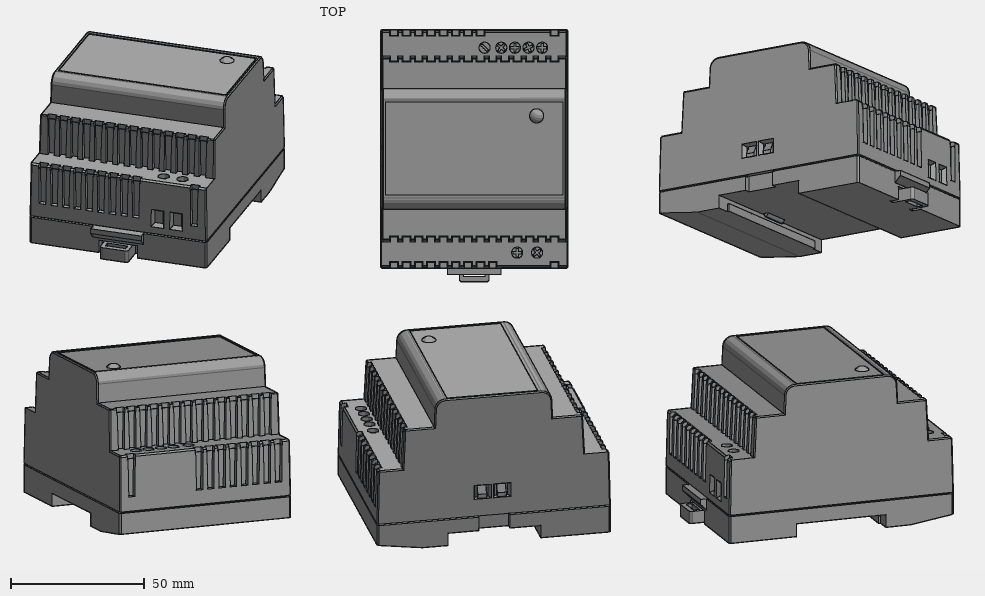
import cadquery as cq
import math


half_width = 35.0
half_width_top = 34.4
half_depth = 44.7
overall_depth = 94.5
base_top = 10.5
body_bottom = 11.05
body_top = 59.2
seam_inset = 1.3
side_edge_chamfer = 0.5
corner_chamfer = 0.7

low_step_z = 32.5
mid_step_z = 48.3
low_head_y = 44.2
mid_foot_y = 34.9
mid_head_y = 34.1
top_foot_y = 22.7
top_head_y = 22.2
top_edge_radius = 4.0
low_edge_chamfer = 0.7
mid_edge_chamfer = 0.4

rail_z = 5.0
rail_front_y = -17.95
rail_rear_y = 17.6
lip_y = 16.8
lip_z = 3.0
slope_start_y = 27.4
slope_end_z = 2.5
lip_side_inset = 5.7
notch_front_y = -6.1
notch_rear_y = 5.8
notch_depth = 2.4

slot_count = 14
slot_span = 60.0
slot_pitch = slot_span / (slot_count - 1)
slot_head_width = 3.3
slot_head_height = 1.8
slot_head_extra = 0.33
slot_top_width = 3.0
slot_bottom_width = 2.55
mid_slot_back_y = 32.9
low_slot_back_y = 42.5
low_slot_bottom_z = 16.5
all_slots = list(range(slot_count))
last_slot = slot_count - 1
front_low_slots = all_slots[:9] + [last_slot]
rear_low_slots = all_slots[:8] + [last_slot]

well_x = (15.6, 23.0)
well_z = 17.4
well_width = 5.2
well_height = 7.3
well_floor_width = 3.2
well_floor_height = 5.0
well_depth = 1.9

socket_y = (4.25, -3.2)
socket_z_low = 17.9
socket_height = 5.6
socket_width = 6.7
socket_taper = 0.85
socket_depth = 2.4
contact_width = 3.4
contact_height = 1.6
contact_front_depth = 0.8

front_screw_y = -38.8
rear_screw_y = 37.9
screw_radius = 2.1
screw_depth = 1.9
recess_length = 3.2
recess_width = 0.85
recess_depth = 0.8
cross_screws = [
    (16.1, front_screw_y, 0),
    (23.5, front_screw_y, 40),
    (10.1, rear_screw_y, 50),
    (15.2, rear_screw_y, 0),
    (20.3, rear_screw_y, 25),
    (25.4, rear_screw_y, 0),
]
adjuster = (3.9, rear_screw_y, -45)

panel_half_width = 33.2
panel_front_y = -17.2
panel_rear_y = 17.6
panel_depth = 0.3
lamp_x = 23.3
lamp_y = 12.4
lamp_radius = 2.6
lamp_top = 60.3

tip_y = half_depth - overall_depth
tab_half_width = 10.0
tab_reach = 2.4
tab_edge_z = 8.5
tab_low_z = 6.0
guide_half_width = 7.65
guide_height = 5.1
guide_depth = 3.8
loop_half_width = 5.6
loop_height = 4.7
loop_bar = 2.1
loop_hole_half_width = 4.0
loop_hole_back_y = -45.3
loop_radius = 1.0

nose_tip_y = -15.8
nose_low_z = 0.9
nose_tip_low_z = 2.5
nose_tip_high_z = 2.9
nose_high_z = 3.9
rib_rear_y = 16.7
rib_tip_rear_y = 16.3
rib_tip_front_y = 15.8
rib_front_y = 14.8
rib_tip_z = 3.7

OVERLAP = 0.9


def box(x0, x1, y0, y1, z0, z1):
    """Block between opposite corners."""
    return cq.Workplane("XY").box(x1 - x0, y1 - y0, z1 - z0, centered=False).translate((x0, y0, z0))


def prism_x(points, half_length):
    """Extrude a (y, z) outline symmetrically along X."""
    return cq.Workplane("YZ").polyline(points).close().extrude(half_length, both=True)


def edges_near(y0, y1, z):
    """Selector for what is centred between y0 and y1, close to height z, over the full width."""
    return cq.selectors.BoxSelector((-half_width, y0, z - OVERLAP), (half_width, y1, z + OVERLAP))


def outer_step_edges(body, head_y, z):
    """Outer front and rear edges of the step at height z."""
    front = edges_near(-head_y - OVERLAP, -head_y + OVERLAP, z)
    rear = edges_near(head_y - OVERLAP, head_y + OVERLAP, z)
    return body.edges("|X").edges(front + rear)


def make_body():
    rear = [
        (half_depth, body_bottom),
        (low_head_y, low_step_z),
        (mid_foot_y, low_step_z),
        (mid_head_y, mid_step_z),
        (top_foot_y, mid_step_z),
        (top_head_y, body_top),
    ]
    front = [(-y, z) for y, z in reversed(rear)]
    body = prism_x(rear + front, half_width)
    body = body.edges("|X and >Z").fillet(top_edge_radius)
    body = outer_step_edges(body, low_head_y, low_step_z).chamfer(low_edge_chamfer)
    body = outer_step_edges(body, mid_head_y, mid_step_z).chamfer(mid_edge_chamfer)
    leaning_sides = (
        cq.Workplane("XZ")
        .polyline([
            (-half_width, body_bottom),
            (half_width, body_bottom),
            (half_width_top, body_top),
            (-half_width_top, body_top),
        ])
        .close()
        .extrude(half_depth + OVERLAP, both=True)
    )
    body = body.intersect(leaning_sides)
    front_ledge = edges_near(-half_depth, -mid_foot_y, low_step_z)
    rims = body.faces("<X or >X").edges("not <Z").edges(cq.selectors.InverseSelector(front_ledge))
    return rims.chamfer(side_edge_chamfer)


def make_base():
    outline = [
        (-half_depth, 0),
        (rail_front_y, 0),
        (rail_front_y, rail_z),
        (rail_rear_y, rail_z),
        (rail_rear_y, 0),
        (slope_start_y, 0),
        (half_depth, slope_end_z),
        (half_depth, base_top),
        (-half_depth, base_top),
    ]
    base = prism_x(outline, half_width)
    base = base.edges("|Z and (<Y or >Y)").chamfer(corner_chamfer)
    neck_x = half_width - seam_inset
    neck_y = half_depth - seam_inset
    base = base.union(box(-neck_x, neck_x, -neck_y, neck_y, rail_z, body_bottom))
    lip_x = half_width - lip_side_inset
    lip = box(-lip_x, lip_x, lip_y, rail_rear_y + OVERLAP, 0, lip_z)
    notch_floor_x = -half_width + notch_depth
    notch = box(-half_width - OVERLAP, notch_floor_x, notch_front_y, notch_rear_y, rail_z, body_bottom)
    return base.union(lip).cut(notch)


def slot_row(indices, side, back_y, outer_y, z0, z1):
    """Cutter for one row of slots; side is -1 for the front and 1 for the rear."""
    z_head = z1 - slot_head_height
    reach = outer_y + OVERLAP
    row = cq.Workplane("XY")
    for index in indices:
        x = (index - (slot_count - 1) / 2) * slot_pitch
        shaft = (
            cq.Workplane("XZ")
            .polyline([
                (x - slot_bottom_width / 2, z0),
                (x + slot_bottom_width / 2, z0),
                (x + slot_top_width / 2, z1),
                (x - slot_top_width / 2, z1),
            ])
            .close()
            .extrude(reach - back_y)
            .translate((0, reach if side > 0 else -back_y, 0))
        )
        head_back = side * (back_y - slot_head_extra)
        y0, y1 = sorted((head_back, side * reach))
        head = box(x - slot_head_width / 2, x + slot_head_width / 2, y0, y1, z_head, z1 + OVERLAP)
        row = row.add(shaft).add(head)
    return row.combine()


def cut_slots(body):
    for side, low_slots in ((-1, front_low_slots), (1, rear_low_slots)):
        body = body.cut(slot_row(all_slots, side, mid_slot_back_y, mid_foot_y, low_step_z, mid_step_z))
        body = body.cut(
            slot_row(low_slots, side, low_slot_back_y, half_depth, low_slot_bottom_z, low_step_z))
    return body


def cut_front_wells(body):
    for x in well_x:
        well = (
            cq.Workplane("XZ", origin=(x, -half_depth, well_z))
            .rect(well_width, well_height)
            .workplane(offset=-well_depth)
            .rect(well_floor_width, well_floor_height)
            .loft()
        )
        body = body.cut(well)
    return body


def cut_side_sockets(body):
    """Tapered sockets in the -X wall, each holding a ramped contact block."""
    z_high = socket_z_low + socket_height
    floor_x = -half_width + socket_depth
    for y in socket_y:
        floor_height = socket_height - socket_taper
        well = (
            cq.Workplane("YZ", origin=(-half_width, y, socket_z_low + socket_height / 2))
            .rect(socket_width, socket_height)
            .workplane(offset=socket_depth)
            .center(0, -socket_taper / 2)
            .rect(socket_width - 2 * socket_taper, floor_height)
            .loft()
        )
        front_x = -half_width + contact_front_depth
        contact = (
            cq.Workplane("XZ", origin=(0, y, 0))
            .polyline([
                (front_x, socket_z_low),
                (front_x, socket_z_low + contact_height),
                (floor_x, z_high - socket_taper),
                (floor_x + OVERLAP, z_high - socket_taper),
                (floor_x + OVERLAP, socket_z_low),
            ])
            .close()
            .extrude(contact_width / 2, both=True)
        )
        body = body.cut(well.cut(contact))
    return body


def cut_screw(body, x, y, angles):
    """Round screw well with driver slots in the sunk screw head."""
    floor_z = low_step_z - screw_depth
    hole = cq.Workplane("XY", origin=(x, y, floor_z)).circle(screw_radius).extrude(screw_depth + OVERLAP)
    for angle in angles:
        recess = (
            cq.Workplane("XY", origin=(x, y, floor_z))
            .transformed(rotate=(0, 0, angle))
            .rect(recess_length, recess_width)
            .extrude(-recess_depth)
        )
        hole = hole.union(recess)
    return body.cut(hole)


def cut_screws(body):
    for x, y, angle in cross_screws:
        body = cut_screw(body, x, y, (angle, angle + 90))
    x, y, angle = adjuster
    return cut_screw(body, x, y, (angle,))


def dome_midpoint(radius, rise):
    """Point halfway along the arc from the rim to the crown of a spherical cap."""
    sphere = (radius**2 + rise**2) / (2 * rise)
    half_angle = math.asin(radius / sphere) / 2
    return sphere * math.sin(half_angle), rise - sphere + sphere * math.cos(half_angle)


def add_top_panel(body):
    floor_z = body_top - panel_depth
    body = body.cut(
        box(-panel_half_width, panel_half_width, panel_front_y, panel_rear_y, floor_z, body_top + OVERLAP))
    rise = lamp_top - floor_z
    lamp = (
        cq.Workplane("XZ", origin=(lamp_x, lamp_y, floor_z))
        .moveTo(0, -OVERLAP)
        .lineTo(lamp_radius, -OVERLAP)
        .lineTo(lamp_radius, 0)
        .threePointArc(dome_midpoint(lamp_radius, rise), (0, rise))
        .close()
        .revolve(360, (0, 0, 0), (0, 1, 0))
    )
    return body.union(lamp)


def add_latch(base):
    tab_y = -half_depth - tab_reach
    tab = prism_x(
        [
            (-half_depth + OVERLAP, base_top),
            (tab_y, base_top),
            (tab_y, tab_edge_z),
            (-half_depth, tab_low_z),
            (-half_depth + OVERLAP, tab_low_z),
        ],
        tab_half_width,
    )
    guide_back_y = -half_depth + guide_depth
    guide = box(
        -guide_half_width, guide_half_width, -half_depth - OVERLAP, guide_back_y, -OVERLAP, guide_height)
    loop = box(-loop_half_width, loop_half_width, tip_y, guide_back_y, 0, loop_height)
    loop = loop.edges("|Z and <Y").fillet(loop_radius)
    loop_hole = box(
        -loop_hole_half_width,
        loop_hole_half_width,
        tip_y + loop_bar,
        loop_hole_back_y,
        -OVERLAP,
        loop_height + OVERLAP,
    )
    return base.cut(guide).union(loop.cut(loop_hole)).union(tab)


def add_rail_catches(base):
    """Latch nose at the front of the rail groove and a small rib at its rear."""
    nose = prism_x(
        [
            (rail_front_y - OVERLAP, nose_low_z),
            (rail_front_y, nose_low_z),
            (nose_tip_y, nose_tip_low_z),
            (nose_tip_y, nose_tip_high_z),
            (rail_front_y, nose_high_z),
            (rail_front_y - OVERLAP, nose_high_z),
        ],
        loop_half_width,
    )
    rib = prism_x(
        [
            (rib_rear_y, rail_z + OVERLAP),
            (rib_rear_y, rail_z),
            (rib_tip_rear_y, rib_tip_z),
            (rib_tip_front_y, rib_tip_z),
            (rib_front_y, rail_z),
            (rib_front_y, rail_z + OVERLAP),
        ],
        loop_half_width,
    )
    return base.union(nose).union(rib)


body = make_body()
body = cut_slots(body)
body = cut_front_wells(body)
body = cut_side_sockets(body)
body = cut_screws(body)
body = add_top_panel(body)

base = make_base()
base = add_latch(base)
base = add_rail_catches(base)

result = body.union(base)